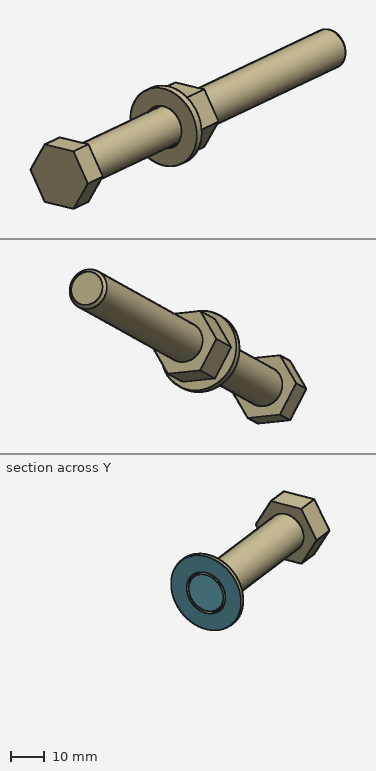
import cadquery as cq
import math

total_length = 137.5
shank_diameter = 12.0
tip_chamfer = 1.0
across_flats = 18.0
head_height = 7.5
washer_diameter = 24.0
washer_bore = 13.0
washer_thickness = 2.5
washer_start = 52.8
nut_height = 10.9

across_corners = across_flats / math.cos(math.pi / 6)
nut_start = washer_start + washer_thickness


def section_plane(y):
    """Plane across the bolt axis at distance y, extruding toward +Y."""
    return cq.Workplane("XZ", origin=(0, y, 0)).transformed(rotate=(180, 0, 0))


def hexagon_prism(y, height):
    """Hexagonal prism with two corners on the X axis."""
    return section_plane(y).polygon(6, across_corners).extrude(height)


def make_bolt():
    """Hexagon head and plain shank with a chamfered tip."""
    head = hexagon_prism(0, head_height)
    shank = (
        section_plane(head_height)
        .circle(shank_diameter / 2)
        .extrude(total_length - head_height)
        .faces(">Y")
        .chamfer(tip_chamfer)
    )
    return head.union(shank)


def make_washer():
    """Flat ring with clearance around the shank."""
    return (
        section_plane(washer_start)
        .circle(washer_diameter / 2)
        .circle(washer_bore / 2)
        .extrude(washer_thickness)
    )


def make_nut():
    """Hexagon nut resting on the washer, with a plain bore fitting the shank."""
    bore = section_plane(nut_start).circle(shank_diameter / 2).extrude(nut_height)
    return hexagon_prism(nut_start, nut_height).cut(bore)


bolt = make_bolt()
washer = make_washer()
nut = make_nut()

result = cq.Compound.makeCompound([bolt.val(), washer.val(), nut.val()])